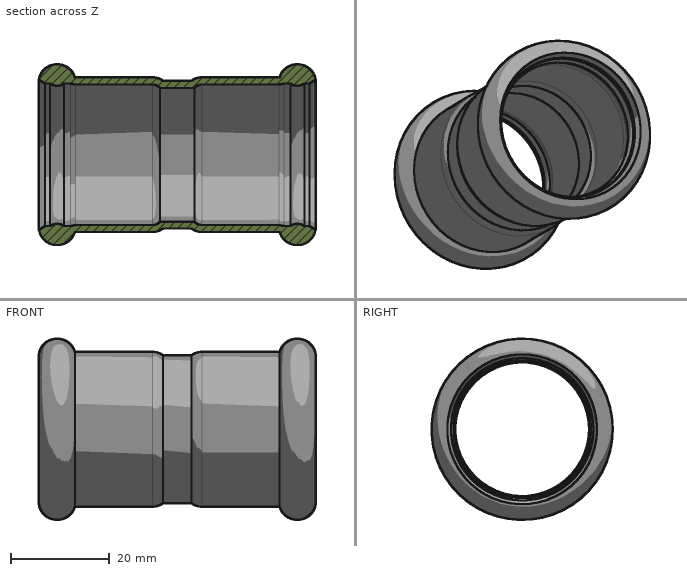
import cadquery as cq
import math

half_length = 28.0
bead_crown_radius = 18.34

wall = 1.5
tube_radius = 31.4 / 2
waist_radius = 30.0 / 2
tube_bore_radius = tube_radius - wall
waist_bore_radius = waist_radius - wall
shoulder_start_x = 5.0
waist_half_length = 2.9

bead_arc_radius = 3.77
mouth_radius = 15.15

seat_radius = 28.8 / 2
mouth_cone_length = 1.3
seat_end_x = 21.6
seat_cone_length = 1.0
seal_width = 2.8
seal_inner_radius = 13.93

shoulder_drop = tube_radius - waist_radius
shoulder_run = shoulder_start_x - waist_half_length
outer_bend_radius = (shoulder_run**2 + shoulder_drop**2) / (2 * shoulder_drop)
inner_bend_radius = outer_bend_radius - wall
bend_centre_radius = tube_radius - outer_bend_radius
inner_bend_end_x = shoulder_start_x - math.sqrt(
    inner_bend_radius**2 - (waist_bore_radius - bend_centre_radius) ** 2
)

bead_centre_radius = bead_crown_radius - bead_arc_radius
bead_x = half_length - math.sqrt(bead_arc_radius**2 - (mouth_radius - bead_centre_radius) ** 2)
bead_inner_end_x = bead_x - math.sqrt(bead_arc_radius**2 - (tube_radius - bead_centre_radius) ** 2)


def bend_middle(bend_radius, end_radius):
    """Point halfway along the shoulder bend that ends at end_radius."""
    half_angle = math.acos((end_radius - bend_centre_radius) / bend_radius) / 2
    return (
        shoulder_start_x - bend_radius * math.sin(half_angle),
        bend_centre_radius + bend_radius * math.cos(half_angle),
    )


def turned(section):
    """Close a section drawn as (x, radius) and turn it about the X axis."""
    return section.close().revolve(360, (0, 0, 0), (1, 0, 0))


def both_ends(end):
    """The +X end together with its mirror image at the -X end."""
    return end.union(end.mirror("YZ"))


def centred_cylinder(radius, half_span):
    """Solid cylinder along X, centred on the origin."""
    return cq.Workplane("YZ").workplane(offset=-half_span).circle(radius).extrude(2 * half_span)


def end_body():
    """Solid shoulder, tube and bead of the +X end."""
    return turned(
        cq.Workplane("XY")
        .moveTo(waist_half_length, 0)
        .lineTo(waist_half_length, waist_radius)
        .threePointArc(bend_middle(outer_bend_radius, waist_radius), (shoulder_start_x, tube_radius))
        .lineTo(bead_inner_end_x, tube_radius)
        .threePointArc((bead_x, bead_crown_radius), (half_length, mouth_radius))
        .lineTo(half_length, 0)
    )


def end_cavity():
    """Socket of the +X end: mouth cone, seat with seal ring, tube bore and inner shoulder."""
    return turned(
        cq.Workplane("XY")
        .moveTo(half_length, 0)
        .lineTo(half_length, mouth_radius)
        .lineTo(half_length - mouth_cone_length, seat_radius)
        .lineTo(bead_x + seal_width / 2, seat_radius)
        .threePointArc((bead_x, seal_inner_radius), (bead_x - seal_width / 2, seat_radius))
        .lineTo(seat_end_x, seat_radius)
        .lineTo(seat_end_x - seat_cone_length, tube_bore_radius)
        .lineTo(shoulder_start_x, tube_bore_radius)
        .threePointArc(
            bend_middle(inner_bend_radius, waist_bore_radius),
            (inner_bend_end_x, waist_bore_radius),
        )
        .lineTo(inner_bend_end_x, 0)
    )


outer_body = centred_cylinder(waist_radius, waist_half_length).union(both_ends(end_body()))
waist_bore = centred_cylinder(waist_bore_radius, inner_bend_end_x)
result = outer_body.cut(waist_bore).cut(both_ends(end_cavity())).solids()